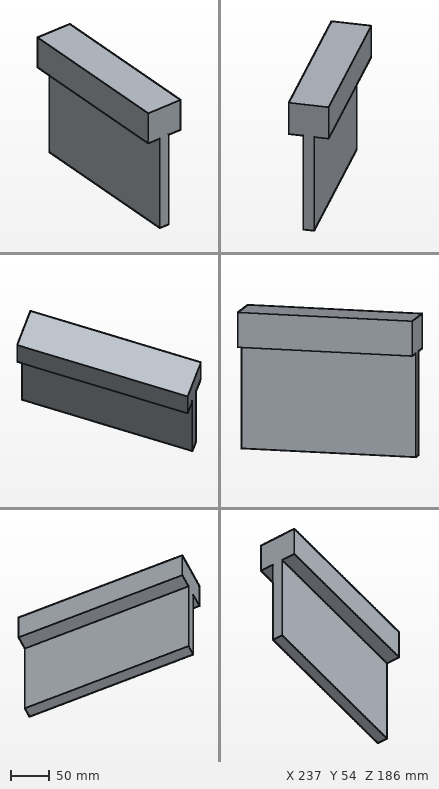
import cadquery as cq

length = 237.0
head_depth = 54.0
total_height = 186.0

head_height = 46.7
web_thickness = 15.0
web_height = total_height - head_height

web = cq.Workplane("XY").box(length, web_thickness, web_height, centered=(True, True, False))

head = (
    cq.Workplane("XY")
    .workplane(offset=web_height)
    .box(length, head_depth, head_height, centered=(True, True, False))
)

result = web.union(head)